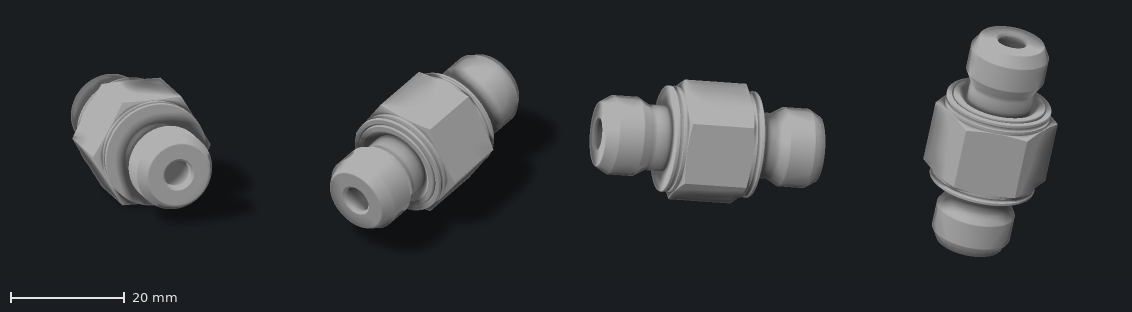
import cadquery as cq
import math

LENGTH = 40.0
MIDDLE = LENGTH / 2
BORE_DIAMETER = 5.0
BORE_CHAMFER = 0.4

STUB_DIAMETER = 14.0
NECK_DIAMETER = 11.6
FACE_DIAMETER = 11.5
SHOULDER_START = 6.7
CONE_ANGLE = math.radians(30)
NECK_FILLET = 1.2
STUB_EDGE_FILLET = 0.3
NOSE_CONE_LENGTH = (STUB_DIAMETER - FACE_DIAMETER) / 2 / math.tan(CONE_ANGLE)
SHOULDER_CONE_LENGTH = (STUB_DIAMETER - NECK_DIAMETER) / 2 / math.tan(CONE_ANGLE)

COLLAR_START = 12.0
COLLAR_DIAMETER = 18.8
COLLAR_EDGE_FILLET = 0.15
GROOVE_RADIUS = 0.4
GROOVE_OFFSET = 0.9

HEX_START = 14.0
HEX_FLATS = 19.0
HEX_LENGTH = LENGTH - 2 * HEX_START
HEX_CORNERS = HEX_FLATS / math.cos(math.radians(30))
HEX_TURNED_DIAMETER = 21.9
HEX_CHAMFER_ANGLE = math.radians(15)

RECESS_DIAMETER = 16.65
RECESS_DEPTH = 0.7
RECESS_CHAMFER = 0.2
SEAL_DIAMETER = 16.5
SEAL_MOUTH_DIAMETER = 14.4
SEAL_PROTRUSION = 0.35
SEAL_EDGE_FILLET = 0.15


def revolve_about_x(profile):
    """Full turn of an XY profile about the X axis."""
    return profile.close().revolve(360, (0, 0, 0), (1, 0, 0))


def make_stub():
    """Left stub: double-tapered nose and a neck that runs to the middle of the part."""
    nose_radius = STUB_DIAMETER / 2
    neck_radius = NECK_DIAMETER / 2
    neck_start = SHOULDER_START + SHOULDER_CONE_LENGTH
    stub = revolve_about_x(
        cq.Workplane("XY")
        .lineTo(0, FACE_DIAMETER / 2)
        .lineTo(NOSE_CONE_LENGTH, nose_radius)
        .lineTo(SHOULDER_START, nose_radius)
        .lineTo(neck_start, neck_radius)
        .lineTo(MIDDLE, neck_radius)
        .lineTo(MIDDLE, 0)
    )
    neck_edge = cq.selectors.BoxSelector(
        (neck_start - 0.4, -STUB_DIAMETER, -STUB_DIAMETER),
        (neck_start + 0.4, STUB_DIAMETER, STUB_DIAMETER),
    )
    nose_edges = cq.selectors.BoxSelector(
        (-0.4, -STUB_DIAMETER, -STUB_DIAMETER),
        (SHOULDER_START + 0.4, STUB_DIAMETER, STUB_DIAMETER),
    )
    stub = stub.edges(neck_edge).edges("%CIRCLE").fillet(NECK_FILLET)
    return stub.edges(nose_edges).edges("%CIRCLE").fillet(STUB_EDGE_FILLET)


def make_collar():
    """Left collar with a rounded rim and a half-round groove."""
    collar = (
        cq.Workplane("YZ", origin=(COLLAR_START, 0, 0))
        .circle(COLLAR_DIAMETER / 2)
        .extrude(MIDDLE - COLLAR_START)
        .faces("<X").edges().fillet(COLLAR_EDGE_FILLET)
    )
    groove = (
        cq.Workplane("XY")
        .center(COLLAR_START + GROOVE_OFFSET, COLLAR_DIAMETER / 2)
        .circle(GROOVE_RADIUS)
        .revolve(360, (-0.4, -COLLAR_DIAMETER / 2, 0), (0.4, -COLLAR_DIAMETER / 2, 0))
    )
    return collar.cut(groove)


def make_hexagon():
    """Hexagon with corners on the Y axis, lightly trimmed, and both ends turned to a cone."""
    prism = (
        cq.Workplane("YZ", origin=(HEX_START, 0, 0))
        .polygon(6, HEX_CORNERS)
        .extrude(HEX_LENGTH)
    )
    corner_radius = HEX_TURNED_DIAMETER / 2
    end_radius = HEX_FLATS / 2
    chamfer_length = (corner_radius - end_radius) * math.tan(HEX_CHAMFER_ANGLE)
    hex_end = HEX_START + HEX_LENGTH
    envelope = revolve_about_x(
        cq.Workplane("XY")
        .moveTo(HEX_START, 0)
        .lineTo(HEX_START, end_radius)
        .lineTo(HEX_START + chamfer_length, corner_radius)
        .lineTo(hex_end - chamfer_length, corner_radius)
        .lineTo(hex_end, end_radius)
        .lineTo(hex_end, 0)
    )
    return prism.intersect(envelope)


def make_bore():
    """Through bore, widened by a chamfer at both ends."""
    radius = BORE_DIAMETER / 2
    mouth_radius = radius + BORE_CHAMFER
    return revolve_about_x(
        cq.Workplane("XY")
        .lineTo(0, mouth_radius)
        .lineTo(BORE_CHAMFER, radius)
        .lineTo(LENGTH - BORE_CHAMFER, radius)
        .lineTo(LENGTH, mouth_radius)
        .lineTo(LENGTH, 0)
    )


def make_recess():
    """Ring-shaped recess around the neck, with a chamfered outer rim."""
    radius = RECESS_DIAMETER / 2
    bottom = COLLAR_START + RECESS_DEPTH
    return revolve_about_x(
        cq.Workplane("XY")
        .moveTo(COLLAR_START, NECK_DIAMETER / 2)
        .lineTo(COLLAR_START, radius + RECESS_CHAMFER)
        .lineTo(COLLAR_START + RECESS_CHAMFER, radius)
        .lineTo(bottom, radius)
        .lineTo(bottom, NECK_DIAMETER / 2)
    )


def make_fitting():
    """Turned body: mirrored stubs and collars, hexagon, bore and seal recess."""
    half = make_stub().union(make_collar())
    other_half = half.mirror("YZ", (MIDDLE, 0, 0))
    return half.union(other_half).union(make_hexagon()).cut(make_bore()).cut(make_recess())


def make_seal():
    """Seal ring seated on the recess bottom, its inside tapering down to the neck."""
    front = COLLAR_START - SEAL_PROTRUSION
    back = COLLAR_START + RECESS_DEPTH
    ring = revolve_about_x(
        cq.Workplane("XY")
        .moveTo(front, SEAL_MOUTH_DIAMETER / 2)
        .lineTo(front, SEAL_DIAMETER / 2)
        .lineTo(back, SEAL_DIAMETER / 2)
        .lineTo(back, NECK_DIAMETER / 2)
    )
    return ring.faces("<X").edges(cq.selectors.RadiusNthSelector(-1)).fillet(SEAL_EDGE_FILLET)


fitting = make_fitting().translate((-MIDDLE, 0, 0))
seal = make_seal().translate((-MIDDLE, 0, 0))

result = cq.Compound.makeCompound([fitting.val(), seal.val()])